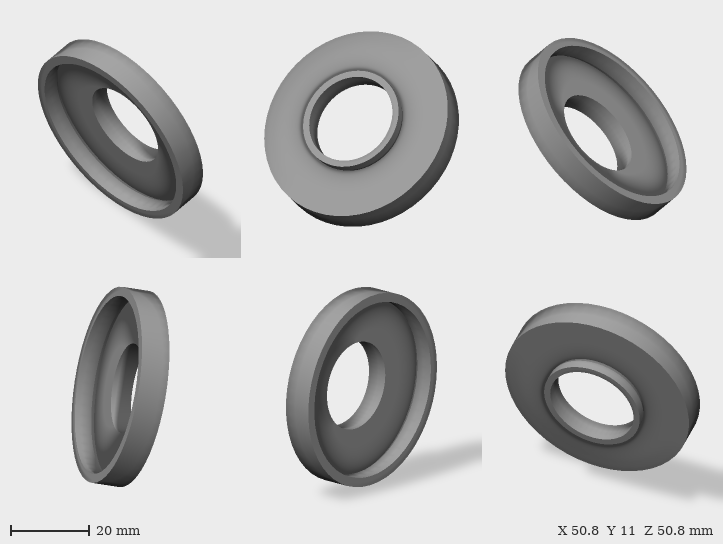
import cadquery as cq

disc_diameter = 50.8
disc_thickness = 7.5
recess_diameter = 46.0
recess_wall_depth = 4.5
relief_diameter = 47.5
relief_width = 1.0
bore_diameter = 23.0

neck_diameter = 25.8
neck_length = 1.0
collar_diameter = 26.4
collar_length = 2.5

total_length = disc_thickness + neck_length + collar_length


def cylinder(diameter, start, length):
    """Solid cylinder about the Y axis, running from start toward +Y."""
    plane = cq.Plane(origin=(0, start, 0), xDir=(1, 0, 0), normal=(0, 1, 0))
    return cq.Workplane(plane).circle(diameter / 2).extrude(length)


disc = cylinder(disc_diameter, 0, disc_thickness)
neck = cylinder(neck_diameter, disc_thickness, neck_length)
collar = cylinder(collar_diameter, disc_thickness + neck_length, collar_length)
recess = cylinder(recess_diameter, 0, recess_wall_depth)
relief = cylinder(relief_diameter, recess_wall_depth, relief_width)
bore = cylinder(bore_diameter, 0, total_length)

result = disc.union(neck).union(collar).cut(recess).cut(relief).cut(bore)